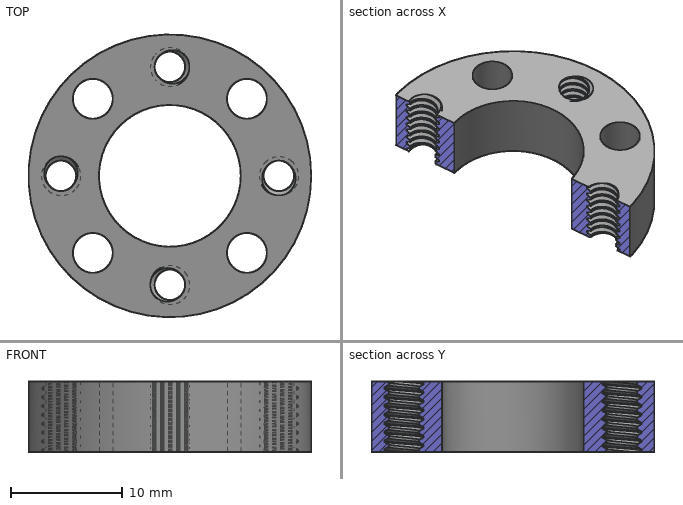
import cadquery as cq
import math

outer_diameter = 25.4
bore_diameter = outer_diameter / 2
thickness = outer_diameter / 4

bolt_circle_diameter = 19.55
holes_per_kind = 4
hole_spacing = 360 / holes_per_kind
plain_hole_diameter = 3.55

minor_diameter = 2.72
major_diameter = 3.5
turns_through_ring = 8
pitch = thickness / turns_through_ring
flank_half_angle = 30.0
root_flat = pitch / 8
groove_start_angle = -90
overrun_turns = 1
bore_overlap = 0.03


def hole_positions(start_angle):
    """Bolt-circle workplane points for one kind of hole."""
    return cq.Workplane("XY").polarArray(bolt_circle_diameter / 2, start_angle, 360, holes_per_kind)


def make_ring():
    return cq.Workplane("XY").circle(outer_diameter / 2).circle(bore_diameter / 2).extrude(thickness)


def make_thread_groove():
    """Right-hand helical groove about the Z axis, centred on +X at the level of both faces of the ring."""
    overrun = overrun_turns * pitch
    root_radius = major_diameter / 2
    mouth_radius = minor_diameter / 2 - bore_overlap
    half_root = root_flat / 2
    half_mouth = half_root + (root_radius - mouth_radius) * math.tan(math.radians(flank_half_angle))
    helix = cq.Wire.makeHelix(pitch, thickness + 2 * overrun, minor_diameter / 2)
    profile = cq.Workplane("XZ").polyline([
        (mouth_radius, -half_mouth),
        (root_radius, -half_root),
        (root_radius, half_root),
        (mouth_radius, half_mouth),
    ]).close()
    return profile.sweep(cq.Workplane(helix), isFrenet=True).translate((0, 0, -overrun))


result = make_ring()

plain_holes = hole_positions(hole_spacing / 2).circle(plain_hole_diameter / 2).extrude(thickness)
result = result.cut(plain_holes)

groove = make_thread_groove().rotate((0, 0, 0), (0, 0, 1), groove_start_angle)
first_groove = groove.translate((bolt_circle_diameter / 2, 0, 0))
for index in range(holes_per_kind):
    result = result.cut(first_groove.rotate((0, 0, 0), (0, 0, 1), index * hole_spacing))

minor_holes = hole_positions(0).circle(minor_diameter / 2).extrude(thickness)
result = result.cut(minor_holes).solids()